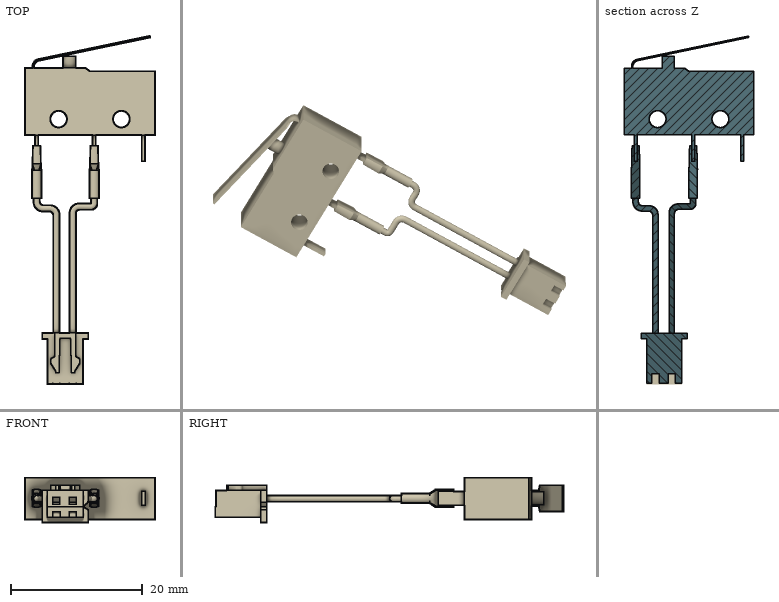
import cadquery as cq
import math


HOUSING_LENGTH = 19.8
HOUSING_DEPTH = 10.2
HOUSING_THICKNESS = 6.4
STEP_DROP = 0.5
STEP_START_X = 9.2
STEP_END_X = 9.85
HOLE_DIAMETER = 2.5
HOLE_XS = (5.15, 14.65)
HOLE_Y = 2.45

C_X = 1.8
NO_X = 10.55
NC_X = 18.0
TERMINAL_THICKNESS = 0.55
TERMINAL_WIDTH = 2.1
TERMINAL_LENGTH = 3.95
TERMINAL_Z = 0.05

PLUNGER_X = 6.8
PLUNGER_DIAMETER = 1.95
PLUNGER_HEIGHT = 1.8
LEVER_X = 1.25
LEVER_THICKNESS = 0.25
LEVER_WIDTH = 4.0
LEVER_ROOT_WIDTH = 2.4
LEVER_ROOT_HEIGHT = 0.175
LEVER_BEND_RADIUS = 1.05
LEVER_SLOPE = 11.8
LEVER_ARM_LENGTH = 17.25
LEVER_CORNER_CHAMFER = 0.65

SLEEVE_START_Y = -1.6
SLEEVE_TAPER_START_Y = -4.35
SLEEVE_TAPER_END_Y = -5.3
SLEEVE_END_Y = -9.6
SLEEVE_FLAT_WIDTH = 2.75
SLEEVE_FLAT_START_THICKNESS = 1.15
SLEEVE_FLAT_END_THICKNESS = 1.3
SLEEVE_CROWN = 0.15
SLEEVE_DIAMETER = 1.5

WIRE_DIAMETER = 1.0
WIRE_BEND_RADIUS = 1.0
NO_WIRE_FIRST_BEND_RADIUS = 0.55
C_WIRE_CROSSING_Y = -11.1
NO_WIRE_CROSSING_Y = -10.85

CONNECTOR_X = 6.15
CONNECTOR_BACK_Y = -30.0
CONNECTOR_LENGTH = 7.85
CONNECTOR_WIDTH = 5.4
CONNECTOR_TOP_Z = 1.25
CONNECTOR_HEIGHT = 4.15
FLANGE_WIDTH = 7.0
FLANGE_HEIGHT = 4.9
FLANGE_THICKNESS = 0.95
CONTACT_PITCH = 2.5
CONTACT_OFFSET_X = -0.1
CAVITY_WIDTH = 1.05
CAVITY_HEIGHT = 1.05
CAVITY_BOTTOM_Z = -0.85
CAVITY_DEPTH = 1.6
LEDGE_HEIGHT = 0.3
LEDGE_DEPTH = 0.55
FACE_SETBACK = 0.1
LIP_HEIGHT = 1.65
NOTCH_WIDTH = 1.1
NOTCH_HEIGHT = 0.9
NOTCH_DEPTH = 1.6
MARK_TOP_Z = -0.55
MARK_TIP_Z = -1.2
MARK_BOTTOM_Z = -1.7

LATCH_HEIGHT = 0.8
LATCH_HALF_WIDTH = 1.6
LATCH_LENGTH = 6.1
BARB_HALF_WIDTH = 2.2
BARB_START = 3.6
BARB_SHOULDER = 3.9
BARB_SLOPE_START = 4.6
BARB_SLOPE_END = 5.9
BARB_ROOT_ROUNDING = 0.25
BARB_SHOULDER_ROUNDING = 0.4
BARB_SLOPE_ROUNDING = 0.25
TIP_HALF_WIDTH = 1.45
LATCH_SLOT_START = 0.85
LATCH_SLOT_BACK_HALF_WIDTH = 0.8
LATCH_SLOT_FRONT_HALF_WIDTH = 0.95

CONTACT_XS = [CONNECTOR_X + CONTACT_OFFSET_X + side * CONTACT_PITCH / 2 for side in (-1, 1)]
CONNECTOR_FRONT_Y = CONNECTOR_BACK_Y - CONNECTOR_LENGTH
CONNECTOR_BOTTOM_Z = CONNECTOR_TOP_Z - CONNECTOR_HEIGHT


def block(x_size, y_size, z_size, x_middle, y_start, z_start):
    """A box centred on x_middle that grows along +Y and +Z from its start corner."""
    box = cq.Workplane("XY").box(x_size, y_size, z_size, centered=(True, False, False))
    return box.translate((x_middle, y_start, z_start))


def make_terminal(x):
    """A flat blade that hangs from the terminal face."""
    return block(
        TERMINAL_THICKNESS, TERMINAL_LENGTH, TERMINAL_WIDTH,
        x, -TERMINAL_LENGTH, TERMINAL_Z - TERMINAL_WIDTH / 2,
    )


def make_housing():
    """The switch block with its stepped back edge and two mounting holes."""
    outline = [
        (0, 0),
        (HOUSING_LENGTH, 0),
        (HOUSING_LENGTH, HOUSING_DEPTH - STEP_DROP),
        (STEP_END_X, HOUSING_DEPTH - STEP_DROP),
        (STEP_START_X, HOUSING_DEPTH),
        (0, HOUSING_DEPTH),
    ]
    housing = cq.Workplane("XY").polyline(outline).close().extrude(HOUSING_THICKNESS / 2, both=True)
    holes = (
        cq.Workplane("XY")
        .pushPoints([(x, HOLE_Y) for x in HOLE_XS])
        .circle(HOLE_DIAMETER / 2)
        .extrude(HOUSING_THICKNESS / 2, both=True)
    )
    return housing.cut(holes)


def make_plunger():
    """The round button that stands on the back edge of the housing, under the lever."""
    plunger = cq.Workplane("XZ").circle(PLUNGER_DIAMETER / 2).extrude(-PLUNGER_HEIGHT)
    return plunger.translate((PLUNGER_X, HOUSING_DEPTH, TERMINAL_Z))


def make_lever():
    """A narrow root that bends over into a wide, sloping arm with chamfered inner corners."""
    turn = math.radians(90 - LEVER_SLOPE)
    bend_y = HOUSING_DEPTH + LEVER_ROOT_HEIGHT
    bend_centre_x = LEVER_X + LEVER_BEND_RADIUS

    def bend_point(radius, angle):
        return (bend_centre_x - radius * math.cos(angle), bend_y + radius * math.sin(angle))

    outer = LEVER_BEND_RADIUS + LEVER_THICKNESS / 2
    inner = LEVER_BEND_RADIUS - LEVER_THICKNESS / 2
    root = (
        cq.Workplane("XY")
        .moveTo(bend_centre_x - outer, HOUSING_DEPTH)
        .lineTo(*bend_point(outer, 0))
        .threePointArc(bend_point(outer, turn / 2), bend_point(outer, turn))
        .lineTo(*bend_point(inner, turn))
        .threePointArc(bend_point(inner, turn / 2), bend_point(inner, 0))
        .lineTo(bend_centre_x - inner, HOUSING_DEPTH)
        .close()
        .extrude(LEVER_ROOT_WIDTH / 2, both=True)
    )
    arm = (
        cq.Workplane("XY")
        .box(LEVER_ARM_LENGTH, LEVER_THICKNESS, LEVER_WIDTH, centered=(False, True, True))
        .edges("<X and |Y")
        .chamfer(LEVER_CORNER_CHAMFER)
        .rotate((0, 0, 0), (0, 0, 1), LEVER_SLOPE)
        .translate((*bend_point(LEVER_BEND_RADIUS, turn), 0))
    )
    return root.union(arm).translate((0, 0, TERMINAL_Z))


def make_switch():
    """The complete switch: housing, terminals, plunger and lever in one solid."""
    switch = make_housing().union(make_plunger()).union(make_lever())
    for x in (C_X, NO_X, NC_X):
        switch = switch.union(make_terminal(x))
    return switch


def make_sleeve(x):
    """A sleeve with a flat, crowned mouth around the terminal and a round barrel at the wire end."""

    def flat_section(workplane, thickness):
        side_x = thickness / 2
        crown_z = SLEEVE_FLAT_WIDTH / 2
        corner_z = crown_z - SLEEVE_CROWN
        return (
            workplane.moveTo(-side_x, -corner_z)
            .threePointArc((0, -crown_z), (side_x, -corner_z))
            .lineTo(side_x, corner_z)
            .threePointArc((0, crown_z), (-side_x, corner_z))
            .close()
        )

    flat_length = SLEEVE_START_Y - SLEEVE_TAPER_START_Y
    taper_length = SLEEVE_TAPER_START_Y - SLEEVE_TAPER_END_Y
    flat = flat_section(cq.Workplane("XZ"), SLEEVE_FLAT_START_THICKNESS).workplane(offset=flat_length)
    flat = flat_section(flat, SLEEVE_FLAT_END_THICKNESS).loft(ruled=True)
    taper = flat_section(cq.Workplane("XZ", (0, -flat_length, 0)), SLEEVE_FLAT_END_THICKNESS)
    taper = taper.workplane(offset=taper_length).circle(SLEEVE_DIAMETER / 2).loft(ruled=True)
    barrel = (
        cq.Workplane("XZ", (0, -flat_length - taper_length, 0))
        .circle(SLEEVE_DIAMETER / 2)
        .extrude(SLEEVE_TAPER_END_Y - SLEEVE_END_Y)
    )
    sleeve = flat.union(taper).union(barrel).translate((x, SLEEVE_START_Y, TERMINAL_Z))
    return sleeve.cut(make_terminal(x))


def make_wire(start_x, end_x, crossing_y, first_radius):
    """A round wire that leaves its sleeve, jogs sideways and runs straight to the connector."""
    side = math.copysign(1, end_x - start_x)
    diagonal = math.sqrt(0.5)
    first_centre = (start_x + side * first_radius, crossing_y + first_radius)
    second_centre = (end_x - side * WIRE_BEND_RADIUS, crossing_y - WIRE_BEND_RADIUS)
    first_middle = (
        first_centre[0] - side * first_radius * diagonal,
        first_centre[1] - first_radius * diagonal,
    )
    second_middle = (
        second_centre[0] + side * WIRE_BEND_RADIUS * diagonal,
        second_centre[1] + WIRE_BEND_RADIUS * diagonal,
    )
    path = (
        cq.Workplane("XY")
        .moveTo(start_x, SLEEVE_END_Y)
        .lineTo(start_x, first_centre[1])
        .threePointArc(first_middle, (first_centre[0], crossing_y))
        .lineTo(second_centre[0], crossing_y)
        .threePointArc(second_middle, (end_x, second_centre[1]))
        .lineTo(end_x, CONNECTOR_BACK_Y)
    )
    profile = cq.Workplane("XZ", (start_x, SLEEVE_END_Y, 0)).circle(WIRE_DIAMETER / 2)
    return profile.sweep(path)


def make_connector_body():
    """The rectangular plug with its back flange and a lower lip that stands forward of the face."""
    body = block(
        CONNECTOR_WIDTH, CONNECTOR_LENGTH, CONNECTOR_HEIGHT,
        CONNECTOR_X, CONNECTOR_FRONT_Y, CONNECTOR_BOTTOM_Z,
    )
    setback = block(
        CONNECTOR_WIDTH, FACE_SETBACK, CONNECTOR_HEIGHT - LIP_HEIGHT,
        CONNECTOR_X, CONNECTOR_FRONT_Y, CONNECTOR_BOTTOM_Z + LIP_HEIGHT,
    )
    flange = block(
        FLANGE_WIDTH, FLANGE_THICKNESS, FLANGE_HEIGHT,
        CONNECTOR_X, CONNECTOR_BACK_Y - FLANGE_THICKNESS, CONNECTOR_TOP_Z - FLANGE_HEIGHT,
    )
    return body.cut(setback).union(flange.cut(make_flange_mark()))


def make_flange_mark():
    """The V-shaped notch in the +X end of the flange, as deep as the flange overhangs the body."""
    flange_end_x = CONNECTOR_X + FLANGE_WIDTH / 2
    body_side_x = CONNECTOR_X + CONNECTOR_WIDTH / 2
    points = [(flange_end_x, MARK_TOP_Z), (body_side_x, MARK_TIP_Z), (flange_end_x, MARK_BOTTOM_Z)]
    mark = cq.Workplane("XZ", (0, CONNECTOR_BACK_Y, 0)).polyline(points).close()
    return mark.extrude(FLANGE_THICKNESS)


def make_latch():
    """A U-shaped latch: two barbed arms joined at the back by a bridge."""
    half_outline = [
        (LATCH_SLOT_BACK_HALF_WIDTH, -LATCH_SLOT_START),
        (LATCH_SLOT_FRONT_HALF_WIDTH, -LATCH_LENGTH),
        (TIP_HALF_WIDTH, -LATCH_LENGTH),
        (TIP_HALF_WIDTH, -BARB_SLOPE_END),
        (BARB_HALF_WIDTH, -BARB_SLOPE_START),
        (BARB_HALF_WIDTH, -BARB_SHOULDER),
        (LATCH_HALF_WIDTH, -BARB_START),
        (LATCH_HALF_WIDTH, 0),
    ]
    mirrored_outline = [(-x, y) for x, y in reversed(half_outline)]
    outline = cq.Workplane("XY").polyline(half_outline + mirrored_outline).close()
    latch = outline.extrude(LATCH_HEIGHT)
    roundings = [
        (LATCH_HALF_WIDTH, BARB_START, BARB_ROOT_ROUNDING),
        (BARB_HALF_WIDTH, BARB_SHOULDER, BARB_SHOULDER_ROUNDING),
        (BARB_HALF_WIDTH, BARB_SLOPE_START, BARB_SLOPE_ROUNDING),
    ]
    for half_width, distance, radius in roundings:
        for side in (-1, 1):
            corner = (side * half_width, -distance, LATCH_HEIGHT / 2)
            latch = latch.edges(cq.selectors.NearestToPointSelector(corner)).fillet(radius)
    return latch.translate((CONNECTOR_X, CONNECTOR_BACK_Y, CONNECTOR_TOP_Z))


def make_connector():
    """The plug with its latch, two ledged contact cavities and the notches under them."""
    connector = make_connector_body().union(make_latch())
    for x in CONTACT_XS:
        cavity = block(
            CAVITY_WIDTH, CAVITY_DEPTH, CAVITY_HEIGHT,
            x, CONNECTOR_FRONT_Y, CAVITY_BOTTOM_Z,
        )
        ledge = block(
            CAVITY_WIDTH, CAVITY_DEPTH - LEDGE_DEPTH, LEDGE_HEIGHT,
            x, CONNECTOR_FRONT_Y + LEDGE_DEPTH, CAVITY_BOTTOM_Z,
        )
        notch = block(
            NOTCH_WIDTH, NOTCH_DEPTH, NOTCH_HEIGHT,
            x, CONNECTOR_FRONT_Y, CONNECTOR_BOTTOM_Z,
        )
        connector = connector.cut(cavity.cut(ledge)).cut(notch)
    return connector


switch = make_switch()
connector = make_connector()
sleeves = [make_sleeve(x) for x in (C_X, NO_X)]
wires = [
    make_wire(C_X, CONTACT_XS[0], C_WIRE_CROSSING_Y, WIRE_BEND_RADIUS),
    make_wire(NO_X, CONTACT_XS[1], NO_WIRE_CROSSING_Y, NO_WIRE_FIRST_BEND_RADIUS),
]

bodies = [switch, connector, *sleeves, *wires]
result = cq.Compound.makeCompound([body.val() for body in bodies])